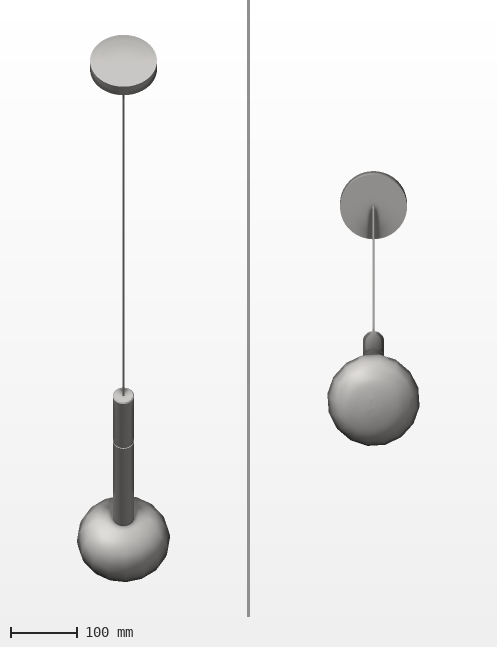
import cadquery as cq

total_height = 1185.0

canopy_diameter = 101.0
canopy_height = 20.0

cable_diameter = 4.0

tube_diameter = 32.0
tube_length = 291.0
tube_top_chamfer = 1.8

groove_width = 7.0
groove_depth = 1.0
groove_drop = 101.0

globe_diameter = 140.0
globe_height = 100.0

globe_bottom_z = -total_height / 2
globe_center_z = globe_bottom_z + globe_height / 2
globe_top_z = globe_center_z + globe_height / 2
tube_top_z = globe_top_z + tube_length
canopy_bottom_z = total_height / 2 - canopy_height
tube_radius = tube_diameter / 2


def upright_cylinder(diameter, bottom_z, height):
    return cq.Workplane("XY", origin=(0, 0, bottom_z)).circle(diameter / 2).extrude(height)


def make_globe():
    """Flattened globe: a smooth curve from pole to pole, level at the poles and upright at the rim."""
    profile = (
        cq.Workplane("XZ")
        .moveTo(0, globe_bottom_z)
        .spline(
            [(globe_diameter / 2, globe_center_z), (0, globe_top_z)],
            tangents=[(1, 0), (0, 1), (-1, 0)],
            includeCurrent=True,
        )
        .close()
    )
    return profile.revolve(360, (0, 0, 0), (0, 1, 0))


def make_tube():
    """Straight tube with a chamfered top rim and one shallow groove around it."""
    tube = upright_cylinder(tube_diameter, globe_top_z, tube_length)
    tube = tube.faces(">Z").edges().chamfer(tube_top_chamfer)
    groove_bottom_z = tube_top_z - groove_drop - groove_width
    groove = (
        cq.Workplane("XY", origin=(0, 0, groove_bottom_z))
        .circle(tube_diameter)
        .circle(tube_radius - groove_depth)
        .extrude(groove_width)
    )
    return tube.cut(groove)


def make_cable():
    """Cable from the top of the tube to the underside of the canopy."""
    return upright_cylinder(cable_diameter, tube_top_z, canopy_bottom_z - tube_top_z)


def make_canopy():
    """Plain ceiling disc."""
    return upright_cylinder(canopy_diameter, canopy_bottom_z, canopy_height)


globe = make_globe()
tube = make_tube()
cable = make_cable()
canopy = make_canopy()

result = cq.Compound.makeCompound([globe.val(), tube.val(), cable.val(), canopy.val()])